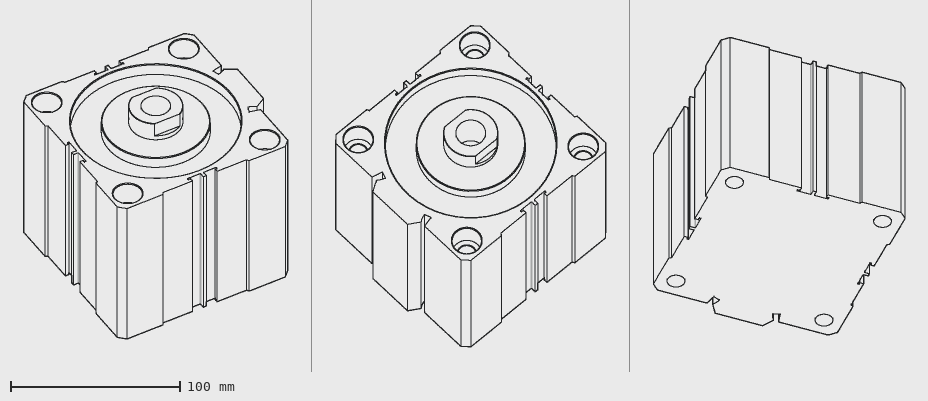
import cadquery as cq

BODY_WIDTH = 117.0
BODY_HEIGHT = 103.0
TOTAL_LENGTH = 123.5
TOTAL_HEIGHT = 115.0
CORNER_CHAMFER = 4.2
HALF_WIDTH = BODY_WIDTH / 2

RELIEF_DEPTH = 1.5
RELIEF_HALF_MOUTH = 29.5
RELIEF_HALF_FLOOR = 28.7

SLOT_HALF_MOUTH = 8.4
SLOT_HALF_UNDERCUT = 9.9
SLOT_DEPTH = 3.3
LIP_THICKNESS = 2.3
RIB_WIDTH = 2.1
RIB_ROOT_FILLET = 0.4

RAIL_TIP_Y = TOTAL_LENGTH - HALF_WIDTH
RAIL_HALF_TOP = 15.1
RAIL_SHOULDER = (19.4, 58.0)
RAIL_FLANK_MID = (17.9, 55.8)
RAIL_FOOT = (17.0, 53.1)
GROOVE_BOTTOM = (21.1, 51.6)
GROOVE_HALF_MOUTH = 22.7

HOLE_PITCH = 94.0
HOLE_DIAMETER = 10.5
HOLE_CHAMFER = 0.4
COUNTERBORE_DIAMETER = 17.3
COUNTERBORE_DEPTH = 14.8
COUNTERBORE_CHAMFER = 0.5

RECESS_DIAMETER = 101.0
RECESS_DEPTH = 8.0
RECESS_CHAMFER = 0.5
BOSS_DIAMETER = 64.5
BOSS_HEIGHT = 7.4
BOSS_CHAMFER = 0.5
RECESS_FLOOR = BODY_HEIGHT - RECESS_DEPTH

ROD_DIAMETER = 32.1
ROD_LENGTH = 37.0
ROD_CHAMFER = 0.2
FLAT_WIDTH = 26.9
FLAT_LENGTH = 9.5
ROD_HOLE_DIAMETER = 17.5
ROD_HOLE_DEPTH = 24.7
ROD_BOTTOM = TOTAL_HEIGHT - ROD_LENGTH


def prism(outline):
    """Extrude a closed XY outline over the full body height."""
    return cq.Workplane("XY").polyline(outline).close().extrude(BODY_HEIGHT)


def cylinder(diameter, bottom, height):
    return cq.Workplane("XY").workplane(offset=bottom).circle(diameter / 2).extrude(height)


def flared_hole(diameter, top, depth, chamfer):
    """Tool for a round hole on the Z axis whose mouth, at height top, is chamfered."""
    radius = diameter / 2
    half_section = [
        (0, top),
        (radius + chamfer, top),
        (radius, top - chamfer),
        (radius, top - depth),
        (0, top - depth),
    ]
    return cq.Workplane("XZ").polyline(half_section).close().revolve(360, (0, 0), (0, 1))


def make_block():
    block = cq.Workplane("XY").rect(BODY_WIDTH, BODY_WIDTH).extrude(BODY_HEIGHT)
    return block.edges("|Z").chamfer(CORNER_CHAMFER)


def make_side_cut():
    """Relief and switch slot for the -Y side."""
    relief_y = -HALF_WIDTH + RELIEF_DEPTH
    lip_y = relief_y + LIP_THICKNESS
    slot_y = relief_y + SLOT_DEPTH
    half_rib = RIB_WIDTH / 2
    relief = prism([
        (-RELIEF_HALF_MOUTH, -HALF_WIDTH),
        (RELIEF_HALF_MOUTH, -HALF_WIDTH),
        (RELIEF_HALF_FLOOR, relief_y),
        (-RELIEF_HALF_FLOOR, relief_y),
    ])
    half_slot = prism([
        (half_rib, relief_y),
        (SLOT_HALF_MOUTH, relief_y),
        (SLOT_HALF_MOUTH, lip_y),
        (SLOT_HALF_UNDERCUT, lip_y),
        (SLOT_HALF_UNDERCUT, slot_y),
        (half_rib, slot_y),
    ])
    rib_root = cq.NearestToPointSelector((half_rib, slot_y, BODY_HEIGHT / 2))
    half_slot = half_slot.edges("|Z").edges(rib_root).fillet(RIB_ROOT_FILLET)
    return relief.union(half_slot).union(half_slot.mirror("YZ"))


def make_rail():
    """Half of the rail and its mirror image, down to the level of the rail foot."""
    half_rail = (
        cq.Workplane("XY")
        .moveTo(0, RAIL_TIP_Y)
        .lineTo(RAIL_HALF_TOP, RAIL_TIP_Y)
        .lineTo(*RAIL_SHOULDER)
        .threePointArc(RAIL_FLANK_MID, RAIL_FOOT)
        .lineTo(0, RAIL_FOOT[1])
        .close()
        .extrude(BODY_HEIGHT)
    )
    return half_rail.union(half_rail.mirror("YZ"))


def make_rail_clearance():
    """Space cleared out of the block before the rail is added, leaving the two grooves."""
    half_clearance = prism([
        (0, RAIL_FOOT[1]),
        RAIL_FOOT,
        GROOVE_BOTTOM,
        (GROOVE_HALF_MOUTH, HALF_WIDTH),
        (0, HALF_WIDTH),
    ])
    return half_clearance.union(half_clearance.mirror("YZ"))


def make_mounting_holes():
    counterbore = flared_hole(
        COUNTERBORE_DIAMETER, BODY_HEIGHT, COUNTERBORE_DEPTH, COUNTERBORE_CHAMFER
    )
    shelf = BODY_HEIGHT - COUNTERBORE_DEPTH
    through_hole = flared_hole(HOLE_DIAMETER, shelf, shelf, HOLE_CHAMFER)
    hole = counterbore.union(through_hole).val()
    corners = cq.Workplane("XY").rect(HOLE_PITCH, HOLE_PITCH, forConstruction=True).vertices()
    return corners.eachpoint(lambda place: hole.moved(place))


def make_boss():
    boss = cylinder(BOSS_DIAMETER, RECESS_FLOOR, BOSS_HEIGHT)
    return boss.faces(">Z").edges().chamfer(BOSS_CHAMFER)


def make_housing():
    housing = make_block().cut(make_rail_clearance()).union(make_rail())
    side_cut = make_side_cut()
    for angle in (-90, 0, 90):
        housing = housing.cut(side_cut.rotate((0, 0, 0), (0, 0, 1), angle))
    housing = housing.cut(make_mounting_holes())
    housing = housing.cut(flared_hole(RECESS_DIAMETER, BODY_HEIGHT, RECESS_DEPTH, RECESS_CHAMFER))
    housing = housing.union(make_boss())
    return housing.cut(cylinder(ROD_DIAMETER, ROD_BOTTOM, ROD_LENGTH))


def make_rod():
    rod = cylinder(ROD_DIAMETER, ROD_BOTTOM, ROD_LENGTH)
    rod = rod.faces(">Z").edges().chamfer(ROD_CHAMFER)
    flat_start = cq.Workplane("XY").workplane(offset=TOTAL_HEIGHT - FLAT_LENGTH)
    around_rod = flat_start.rect(2 * ROD_DIAMETER, 2 * ROD_DIAMETER).extrude(FLAT_LENGTH)
    between_flats = flat_start.rect(FLAT_WIDTH, 2 * ROD_DIAMETER).extrude(FLAT_LENGTH)
    rod = rod.cut(around_rod.cut(between_flats))
    return rod.cut(cylinder(ROD_HOLE_DIAMETER, TOTAL_HEIGHT - ROD_HOLE_DEPTH, ROD_HOLE_DEPTH))


housing = make_housing()
rod = make_rod()
result = cq.Compound.makeCompound([housing.solids().val(), rod.solids().val()])